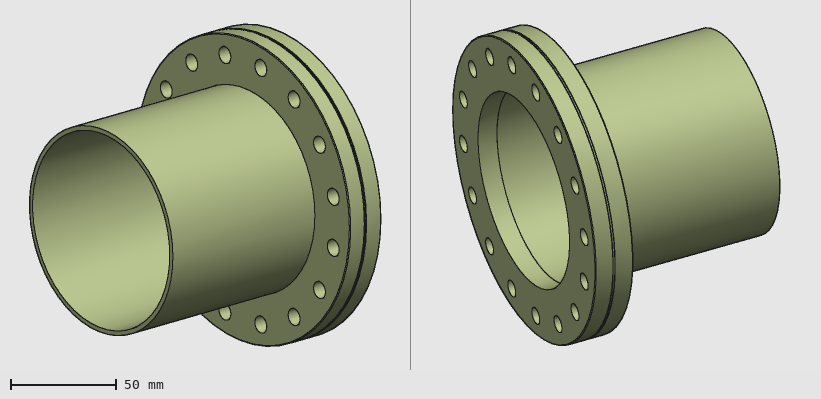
import cadquery as cq

FLANGE_DIAMETER = 151.6
OVERALL_LENGTH = 109.8
FLANGE_THICKNESS = 20.0

TUBE_OUTER_DIAMETER = 101.5
TUBE_BORE_DIAMETER = 97.0

FLANGE_BORE_DIAMETER = 96.9
SEAT_CLEARANCE = 0.3
SEAT_DIAMETER = TUBE_OUTER_DIAMETER + SEAT_CLEARANCE
SEAT_DEPTH = FLANGE_THICKNESS / 2
EDGE_CHAMFER = 0.5
GROOVE_WIDTH = 1.0
GROOVE_DEPTH = 0.5

BOLT_COUNT = 16
BOLT_HOLE_DIAMETER = 8.3
BOLT_CIRCLE_DIAMETER = 130.4

FLANGE_BACK = OVERALL_LENGTH / 2
FLANGE_FRONT = FLANGE_BACK - FLANGE_THICKNESS
TUBE_START = -OVERALL_LENGTH / 2
SEAT_FLOOR = FLANGE_FRONT + SEAT_DEPTH


def cylinder(diameter, y_start, length):
    """Solid cylinder along +Y, starting at y_start."""
    plane = cq.Workplane("XZ", origin=(0, y_start, 0))
    return plane.circle(diameter / 2).extrude(-length)


def ring(outer_diameter, inner_diameter, y_start, length):
    """Hollow cylinder along +Y, starting at y_start."""
    return cylinder(outer_diameter, y_start, length).cut(cylinder(inner_diameter, y_start, length))


def make_flange():
    """Bolt flange with a stepped bore, chamfered rim edges, a rim groove and a ring of through holes."""
    disc = cylinder(FLANGE_DIAMETER, FLANGE_FRONT, FLANGE_THICKNESS).edges().chamfer(EDGE_CHAMFER)
    body = disc.cut(cylinder(FLANGE_BORE_DIAMETER, FLANGE_FRONT, FLANGE_THICKNESS))
    body = body.cut(cylinder(SEAT_DIAMETER, FLANGE_FRONT, SEAT_DEPTH))

    groove_start = FLANGE_FRONT + (FLANGE_THICKNESS - GROOVE_WIDTH) / 2
    groove_floor = FLANGE_DIAMETER - 2 * GROOVE_DEPTH
    body = body.cut(ring(FLANGE_DIAMETER, groove_floor, groove_start, GROOVE_WIDTH))

    holes = (
        cq.Workplane("XZ", origin=(0, FLANGE_FRONT, 0))
        .polarArray(BOLT_CIRCLE_DIAMETER / 2, 180 / BOLT_COUNT, 360, BOLT_COUNT)
        .circle(BOLT_HOLE_DIAMETER / 2)
        .extrude(-FLANGE_THICKNESS)
    )
    return body.cut(holes)


def make_tube():
    """Plain tube whose +Y end rests on the floor of the flange seat."""
    return ring(TUBE_OUTER_DIAMETER, TUBE_BORE_DIAMETER, TUBE_START, SEAT_FLOOR - TUBE_START)


flange = make_flange()
tube = make_tube()

result = cq.Compound.makeCompound([flange.val(), tube.val()])